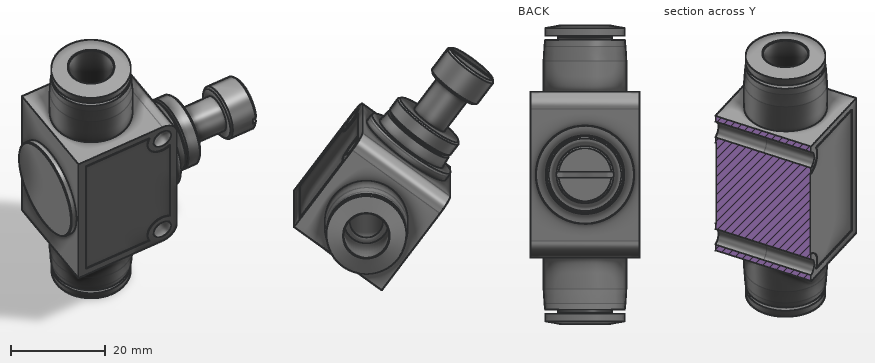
import cadquery as cq


body_width = 23.0
body_height = 35.0
body_front = -10.1
body_back = 14.15
corner_radius = 3.6
mount_hole_diameter = 4.3
mount_hole_y = body_back - corner_radius
mount_hole_z = body_height / 2 - corner_radius

panel_front = -8.2
panel_back = 12.45
panel_height = 31.35
panel_depth = 0.2

cap_diameter = 21.5
cap_front = -11.4
cap_chamfer = 0.2

port_end = 31.5
port_diameter = 17.5
taper_start = 24.0
taper_mid_diameter = 17.1
taper_mid = 27.0
release_diameter = 16.8
sleeve_end = 28.4
neck_diameter = 11.5
neck_root_diameter = 11.15
neck_taper_end = 28.9
flange_start = 29.2
flange_edge = 30.85
tube_diameter = 9.5
tube_depth = 13.85
mouth_diameter = 9.9
mouth_chamfer = (mouth_diameter - tube_diameter) / 2
bore_diameter = 7.0

seat_diameter = 20.8
seat_end = 15.9
seat_chamfer = 0.5
seat_chamfer_inset = 0.1
cone_base_diameter = 16.6
cone_end = 18.4
collar_diameter = 16.0
groove_diameter = 13.9
collar_start = 18.75
collar_end = 22.3
collar_chamfer = 0.4
stem_diameter = 8.0
head_diameter = 12.0
head_start = 30.85
head_end = 37.3
head_chamfer = 0.45
slot_width = 1.3
slot_depth = 1.1


def cylinder_y(diameter, start, end):
    """Cylinder about the Y axis between two Y positions."""
    plane = cq.Workplane("XZ", origin=(0, end, 0))
    return plane.circle(diameter / 2).extrude(end - start)


def make_body():
    depth = body_back - body_front
    body = (
        cq.Workplane("XY")
        .box(body_width, depth, body_height)
        .translate((0, (body_back + body_front) / 2, 0))
        .edges("|X and >Y")
        .fillet(corner_radius)
    )
    for side in (-1, 1):
        body = body.cut(make_panel(side))
    return body


def mount_cylinders(diameter):
    """Two cylinders across the body on the mounting hole axes."""
    return (
        cq.Workplane("YZ")
        .pushPoints([(mount_hole_y, -mount_hole_z), (mount_hole_y, mount_hole_z)])
        .circle(diameter / 2)
        .extrude(body_width / 2, both=True)
    )


def make_panel(side):
    """Panel recess that leaves a raised rim around each mounting hole."""
    panel = (
        cq.Workplane("XY")
        .box(panel_depth, panel_back - panel_front, panel_height)
        .translate((side * (body_width - panel_depth) / 2, (panel_back + panel_front) / 2, 0))
    )
    return panel.cut(mount_cylinders(2 * corner_radius))


def make_port():
    """Upper port as a solid of revolution about Z."""
    profile = [
        (0, 0),
        (port_diameter / 2, 0),
        (port_diameter / 2, taper_start),
        (taper_mid_diameter / 2, taper_mid),
        (release_diameter / 2, sleeve_end),
        (neck_root_diameter / 2, sleeve_end),
        (neck_diameter / 2, neck_taper_end),
        (neck_diameter / 2, flange_start),
        (release_diameter / 2, flange_start),
        (release_diameter / 2, flange_edge),
        (mouth_diameter / 2, port_end),
        (0, port_end),
    ]
    return cq.Workplane("XZ").polyline(profile).close().revolve(360, (0, 0), (0, 1))


def make_port_bore():
    """Flow bore and stepped tube socket of the upper port."""
    socket_floor = port_end - tube_depth
    profile = [
        (0, 0),
        (bore_diameter / 2, 0),
        (bore_diameter / 2, socket_floor),
        (tube_diameter / 2, socket_floor),
        (tube_diameter / 2, port_end - mouth_chamfer),
        (mouth_diameter / 2, port_end),
        (0, port_end),
    ]
    return cq.Workplane("XZ").polyline(profile).close().revolve(360, (0, 0), (0, 1))


def make_cap():
    cap = cylinder_y(cap_diameter, cap_front, body_front)
    return cap.faces("<Y").chamfer(cap_chamfer)


def make_screw():
    """Seat, grooved collar, stem and slotted head of the adjusting screw."""
    seat = cylinder_y(seat_diameter, body_back, seat_end)
    seat = seat.faces(">Y").edges().chamfer(seat_chamfer, seat_chamfer_inset)
    cone = (
        cq.Workplane("XZ", origin=(0, seat_end, 0))
        .circle(cone_base_diameter / 2)
        .workplane(offset=seat_end - cone_end)
        .circle(collar_diameter / 2)
        .loft()
    )
    groove_core = cylinder_y(groove_diameter, cone_end, collar_start)
    collar = cylinder_y(collar_diameter, collar_start, collar_end).edges().chamfer(collar_chamfer)
    stem = cylinder_y(stem_diameter, collar_end, head_start)
    head = cylinder_y(head_diameter, head_start, head_end).edges("%CIRCLE").chamfer(head_chamfer)
    slot = (
        cq.Workplane("XY")
        .box(head_diameter, slot_depth, slot_width)
        .translate((0, head_end - slot_depth / 2, 0))
    )
    return seat.union(cone).union(groove_core).union(collar).union(stem).union(head.cut(slot))


result = make_body().union(make_cap()).union(make_screw())

port = make_port()
result = result.union(port).union(port.mirror("XY"))

bore = make_port_bore()
result = result.cut(bore).cut(bore.mirror("XY"))
result = result.cut(mount_cylinders(mount_hole_diameter))